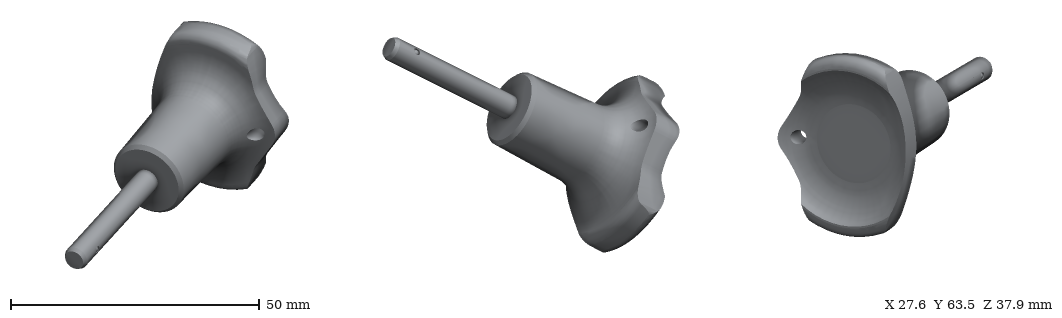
import cadquery as cq
import math

total_length = 63.5
knob_length = 32.4

rim_diameter = 37.9
rim_radius = rim_diameter / 2
rim_back_round = 2.3
rim_straight = 2.35
rim_front_round = 2.05
rim_depth = 6.7
rim_draft = 0.6
flare_radius = 7.9
grip_radius = 8.6
grip_end_radius = 8.0
grip_chamfer = 0.75
grip_start = rim_depth + flare_radius

dish_depth = 3.95
dish_floor_radius = 8.25
dish_wall_radius = 10.15

side_reach = 12.0
side_arc_radius = 40.65
corner_round = 2.05
tab_hole_x = 12.0
tab_hole_diameter = 3.0
tab_reach = 15.55
tab_tip_radius = 5.1
tab_tip_center_x = tab_reach - tab_tip_radius
tab_flank_angle = 30.0
tab_root_round = 7.0
tab_root_height = 12.7

pin_diameter = 5.0
pin_chamfer_length = 0.8
pin_chamfer_width = 0.45
ball_diameter = 1.5
ball_depth = 58.15
ball_seat_depth = 0.75


def turn(profile):
    """Revolve an XY profile about the Y axis."""
    return profile.close().revolve(360, (0, 0, 0), (0, 1, 0))


def cylinder_along_y(radius, x, length):
    """Cylinder running from the knob back toward the pin end."""
    return cq.Workplane("XZ").center(x, 0).circle(radius).extrude(length)


def turned_knob():
    half = math.sqrt(0.5)
    flare_center_x = grip_radius + flare_radius
    blank = turn(
        cq.Workplane("XY")
        .lineTo(rim_radius, 0)
        .lineTo(rim_radius, -rim_straight)
        .lineTo(rim_radius - rim_draft, -rim_depth)
        .lineTo(flare_center_x, -rim_depth)
        .threePointArc(
            (flare_center_x - flare_radius * half, -grip_start + flare_radius * half),
            (grip_radius, -grip_start),
        )
        .lineTo(grip_end_radius, -knob_length + grip_chamfer)
        .lineTo(grip_end_radius - grip_chamfer, -knob_length)
        .lineTo(0, -knob_length)
    )
    blank = blank.faces(">Y").edges().fillet(rim_back_round)
    front_corner = (0, -rim_depth, rim_radius - rim_draft)
    return blank.edges(cq.selectors.NearestToPointSelector(front_corner)).fillet(rim_front_round)


def dish():
    wall_center_y = dish_wall_radius - dish_depth
    wall_width = math.sqrt(dish_wall_radius**2 - wall_center_y**2)
    mid_angle = math.atan2(wall_width, wall_center_y) / 2
    return turn(
        cq.Workplane("XY")
        .lineTo(0, -dish_depth)
        .lineTo(dish_floor_radius, -dish_depth)
        .threePointArc(
            (
                dish_floor_radius + dish_wall_radius * math.sin(mid_angle),
                wall_center_y - dish_wall_radius * math.cos(mid_angle),
            ),
            (dish_floor_radius + wall_width, 0),
        )
    )


def outline():
    """Barrel-shaped grip outline joined to the lanyard tab, as a prism along Y."""
    arc_offset = side_arc_radius - side_reach
    body = (
        cylinder_along_y(rim_radius, 0, knob_length)
        .intersect(cylinder_along_y(side_arc_radius, arc_offset, knob_length))
        .intersect(cylinder_along_y(side_arc_radius, -arc_offset, knob_length))
        .edges("|Y")
        .fillet(corner_round)
    )
    angle = math.radians(tab_flank_angle)
    tangent_x = tab_tip_center_x + tab_tip_radius * math.cos(angle)
    tangent_z = tab_tip_radius * math.sin(angle)
    inner_x = tangent_x - (tab_root_height - tangent_z) * math.tan(angle)
    tab = (
        cq.Workplane("XZ")
        .moveTo(0, -tab_root_height)
        .lineTo(inner_x, -tab_root_height)
        .lineTo(tangent_x, -tangent_z)
        .threePointArc((tab_reach, 0), (tangent_x, tangent_z))
        .lineTo(inner_x, tab_root_height)
        .lineTo(0, tab_root_height)
        .close()
        .extrude(knob_length)
    )
    roots = cq.selectors.BoxSelector(
        (side_reach / 2, -knob_length, -tab_root_height),
        (side_reach, 0, tab_root_height),
    )
    return body.union(tab).edges("|Y").edges(roots).fillet(tab_root_round)


def pin():
    radius = pin_diameter / 2
    shank = turn(
        cq.Workplane("XY")
        .moveTo(0, -knob_length)
        .lineTo(radius, -knob_length)
        .lineTo(radius, -total_length + pin_chamfer_length)
        .lineTo(radius - pin_chamfer_width, -total_length)
        .lineTo(0, -total_length)
    )
    seat_floor = radius - ball_seat_depth
    for side in (-1, 1):
        seat = cq.Workplane("YZ").circle(ball_diameter / 2).extrude(side * ball_diameter)
        ball = cq.Workplane("XY").sphere(ball_diameter / 2)
        ball_position = (side * seat_floor, -ball_depth, 0)
        shank = shank.cut(seat.translate(ball_position)).union(ball.translate(ball_position))
    return shank


lanyard_hole = cylinder_along_y(tab_hole_diameter / 2, tab_hole_x, knob_length)
knob = turned_knob().cut(dish()).intersect(outline()).cut(lanyard_hole)
result = knob.union(pin())